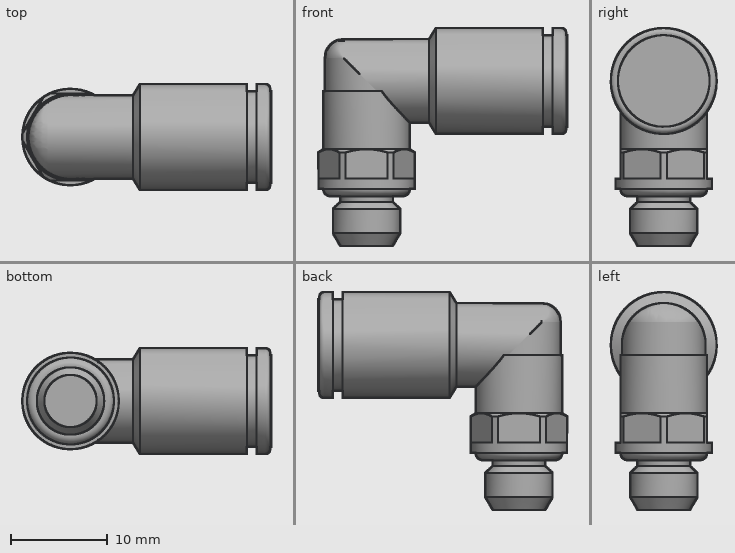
import cadquery as cq
import math


elbow_radius = 8.7 / 2
corner_inset = 2.35
sleeve_radius = 9.0 / 2
sleeve_top_z = -1.05
sleeve_bottom_z = -7.07
barrel_radius = 11.0 / 2
barrel_start_x = 6.48
barrel_chamfer_length = 0.7
barrel_end_x = 18.27

collar_neck_radius = 9.5 / 2
collar_neck_length = 1.0
collar_end_x = 20.8
collar_lip_length = 0.1
collar_round = 0.52

flange_radius = 5.0
hex_across_flats = 2 * sleeve_radius
hex_turn = 30
hex_crown_height = 0.34
hex_bottom_z = -10.11
flange_bottom_z = -11.17
stud_neck_radius = 5.5 / 2
stud_neck_bottom_z = -12.55
thread_radius = 7.0 / 2
thread_top_z = -13.24
thread_taper_z = -15.76
stud_tip_radius = 2.7
stud_bottom_z = -17.1

seal_radius = sleeve_radius
seal_height = 0.77


def vertical_cylinder(radius, bottom_z, top_z):
    """Cylinder around the stem axis."""
    return cq.Workplane("XY", origin=(0, 0, bottom_z)).circle(radius).extrude(top_z - bottom_z)


def horizontal_cylinder(radius, start_x, end_x):
    """Cylinder around the tube axis."""
    return cq.Workplane("YZ", origin=(start_x, 0, 0)).circle(radius).extrude(end_x - start_x)


def make_corner():
    """Mitred outer corner of the two pipes, with its sharp edge rounded off."""
    size = elbow_radius
    miter = vertical_cylinder(size, -size, size).intersect(horizontal_cylinder(size, -size, size))
    edge_zone = cq.Workplane("XY").box(size, 2 * size, size, centered=(False, True, False))
    edge_zone = edge_zone.translate((-corner_inset - size, 0, corner_inset))

    half_width = math.sqrt(size**2 - corner_inset**2)
    rounding = (
        cq.Workplane("XY", origin=(0, 0, corner_inset))
        .moveTo(-corner_inset, -half_width)
        .threePointArc((-size, 0), (-corner_inset, half_width))
        .close()
        .revolve(360, (-corner_inset, 0), (-corner_inset, 1))
    )
    return miter.cut(edge_zone).union(rounding.intersect(edge_zone))


def make_barrel():
    """Wide tube socket with a cone leading up from the pipe."""
    return (
        cq.Workplane("XZ")
        .moveTo(barrel_start_x, 0)
        .lineTo(barrel_start_x, elbow_radius)
        .lineTo(barrel_start_x + barrel_chamfer_length, barrel_radius)
        .lineTo(barrel_end_x, barrel_radius)
        .lineTo(barrel_end_x, 0)
        .close()
        .revolve(360, (0, 0), (1, 0))
    )


def make_elbow():
    """Mitred pipe with a stepped sleeve below and the tube socket at the side."""
    down_pipe = vertical_cylinder(elbow_radius, sleeve_bottom_z, 0)
    side_pipe = horizontal_cylinder(elbow_radius, 0, barrel_start_x)
    sleeve = vertical_cylinder(sleeve_radius, sleeve_bottom_z, sleeve_top_z)
    return make_corner().union(down_pipe).union(side_pipe).union(sleeve).union(make_barrel())


def make_collar():
    """Release collar: a neck running through a flange with a rounded front edge."""
    flange_start_x = barrel_end_x + collar_neck_length
    flange = horizontal_cylinder(barrel_radius, flange_start_x, collar_end_x - collar_lip_length)
    flange = flange.faces(">X").edges().fillet(collar_round)
    return flange.union(horizontal_cylinder(collar_neck_radius, barrel_end_x, collar_end_x))


def make_stud():
    """Threaded stud with a hexagon that has rounded corners and a crowned top."""
    stud = (
        cq.Workplane("XZ")
        .moveTo(0, sleeve_bottom_z)
        .lineTo(sleeve_radius, sleeve_bottom_z)
        .lineTo(flange_radius, sleeve_bottom_z - hex_crown_height)
        .lineTo(flange_radius, flange_bottom_z)
        .lineTo(stud_neck_radius, flange_bottom_z)
        .lineTo(stud_neck_radius, stud_neck_bottom_z)
        .lineTo(thread_radius, thread_top_z)
        .lineTo(thread_radius, thread_taper_z)
        .lineTo(stud_tip_radius, stud_bottom_z)
        .lineTo(0, stud_bottom_z)
        .close()
        .revolve(360, (0, 0), (0, 1))
    )
    hex_height = sleeve_bottom_z - hex_bottom_z
    waste = (
        cq.Workplane("XY", origin=(0, 0, hex_bottom_z))
        .circle(1.5 * flange_radius)
        .polygon(6, hex_across_flats, circumscribed=True)
        .extrude(hex_height)
        .rotate((0, 0, 0), (0, 0, 1), hex_turn)
    )
    return stud.cut(waste)


def make_seal():
    """Sealing ring under the flange, its whole outer side rounded inwards to the bottom."""
    seal_bottom_z = flange_bottom_z - seal_height
    return (
        cq.Workplane("XZ")
        .moveTo(stud_neck_radius, flange_bottom_z)
        .lineTo(seal_radius, flange_bottom_z)
        .radiusArc((seal_radius - seal_height, seal_bottom_z), seal_height)
        .lineTo(stud_neck_radius, seal_bottom_z)
        .close()
        .revolve(360, (0, 0), (0, 1))
    )


elbow = make_elbow()
collar = make_collar()
stud = make_stud()
seal = make_seal()

result = cq.Compound.makeCompound([elbow.val(), collar.val(), stud.val(), seal.val()])